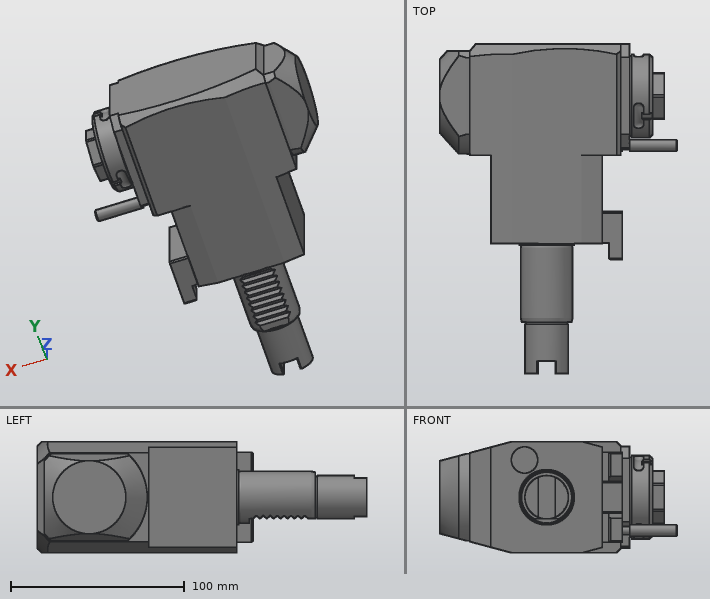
import cadquery as cq
import math

HALF_HEIGHT = 32.0
BACK_Y = 114.8
SHANK_END_Y = BACK_Y - 189.5
SPINDLE_Y = 84.9

STEM_HALF_WIDTH = 32.0
STEM_FLAT_HALF_WIDTH = 20.0
STEM_TOP_Y = 50.8
HOUSING_LEFT_X = -44.2
HOUSING_RIGHT_X = 42.6
HOUSING_EDGE_CHAMFER = 2.5
TAPER_SLOPE = math.tan(math.radians(15))
BACK_CORNER_CHAMFER_X = 3.5
CROWN_RADIUS = 132.6
CROWN_CENTER_X = 10.2
CROWN_EDGE_Z = 29.4

COVER_LEFT_X = -61.5
COVER_RIM_X = -50.5
COVER_TIP_RADIUS = 21.0
COVER_RADIUS = 33.4
COVER_BACK_Y = 110.9
COVER_FLAT_HALF_HEIGHT = 25.0

SHANK_RADIUS = 15.0
COLLAR_RADIUS = 16.0
COLLAR_LENGTH = 1.0
RELIEF_RADIUS = 14.5
RELIEF_END_Y = -2.3
SHANK_SHOULDER_Y = -45.1
SHANK_CHAMFER_LENGTH = 2.3
SHANK_CHAMFER_DEPTH = 0.5
TAIL_RADIUS = 12.5
TAIL_START_Y = -46.2
TAIL_NECK_RADIUS = 12.0
TANG_SLOT_WIDTH = 9.9
TANG_SLOT_DEPTH = 7.2
TANG_SLOT_CHAMFER = 0.8
FLAT_Z = -12.3
FLAT_START_Y = -7.2
TOOTH_PITCH = 4.0
TOOTH_DEPTH = 1.7
TOOTH_COUNT = 8

PLUG_X = -12.7
PLUG_Z = 21.5
PLUG_RADIUS = 7.5
PLUG_RECESS = 0.4

KEY_RIGHT_X = 43.5
KEY_JAW_LEFT_X = 35.8
KEY_BACK_Y = 18.5
KEY_FRONT_Y = 0.4
KEY_JAW_END_Y = -9.3
KEY_HALF_HEIGHT = 26.0
KEY_GAP_HALF_HEIGHT = 9.3
KEY_MOUTH_HALF_HEIGHT = 12.0
KEY_RECESS_DEPTH = 0.4
KEY_RECESS_BEVEL = 1.0
KEY_CHAMFER = 1.0

PLATE_RIGHT_X = 47.8
PLATE_FRONT_Y = 55.1
PLATE_HALF_HEIGHT = 29.2
PLATE_CORNER_Y = 7.8
PLATE_CORNER_Z = 6.6
PLATE_STEP_Z = -14.2
PLATE_STEP = 2.5
PLATE_STEP_CORNER = 1.0

NUT_RADIUS = 24.0
NUT_LEFT_X = 48.9
NUT_RIGHT_X = 61.0
NUT_NECK_RADIUS = 23.1
NUT_CHAMFER = 1.9
NUT_SLOT_COUNT = 3
NUT_SLOT_ANGLE = 120
NUT_SLOT_X = 52.9
NUT_SLOT_CUTTER_RADIUS = 3.0
NUT_SLOT_PATH_RADIUS = 25.0
NUT_SLOT_SWEEP = 27
NUT_CHANNEL_WIDTH = 3.8
NUT_CHANNEL_FLOOR = 22.5

HEX_RIGHT_X = 67.7
HEX_CORNER_RADIUS = 15.5
HEX_TURNED_RADIUS = 15.2

PIN_Y = 56.5
PIN_Z = -19.1
PIN_RADIUS = 3.5
PIN_NECK_RADIUS = 2.5
PIN_HEAD_X = 43.5
PIN_END_X = 75.2
PIN_CHAMFER = 0.8


def prism_along_y(points, y_start, y_end):
    """Extrude an (X, Z) outline between two Y positions."""
    return cq.Workplane("XZ", origin=(0, y_end, 0)).polyline(points).close().extrude(y_end - y_start)


def block(x_range, y_range, z_range):
    """Box given by its limits on each axis."""
    lows, highs = zip(x_range, y_range, z_range)
    size = [high - low for low, high in zip(lows, highs)]
    return cq.Workplane("XY").box(*size, centered=False).translate(lows)


def rod_along_x(radius, x_start, x_end, y=SPINDLE_Y, z=0):
    return cq.Workplane("YZ", origin=(x_start, y, z)).circle(radius).extrude(x_end - x_start)


def tapered_half_height(x):
    """Half thickness of the tapered left flank at a given X."""
    return HALF_HEIGHT + TAPER_SLOPE * (x + STEM_FLAT_HALF_WIDTH)


def mirrored(upper_points):
    """Close an upper outline with its mirror image below Z = 0."""
    return upper_points + [(across, -z) for across, z in reversed(upper_points)]


def make_stem():
    side_z = tapered_half_height(-STEM_HALF_WIDTH)
    upper = [
        (-STEM_HALF_WIDTH, side_z),
        (-STEM_FLAT_HALF_WIDTH, HALF_HEIGHT),
        (STEM_FLAT_HALF_WIDTH, HALF_HEIGHT),
        (STEM_HALF_WIDTH, side_z),
    ]
    stem = prism_along_y(mirrored(upper), 0, STEM_TOP_Y)
    plug = cq.Workplane("XZ").center(PLUG_X, PLUG_Z).circle(PLUG_RADIUS).extrude(-PLUG_RECESS)
    return stem.cut(plug)


def make_crown(side):
    """45 degree cone that bevels the back edge of the upper (1) or lower (-1) face."""
    foot_radius = CROWN_RADIUS + BACK_Y
    cone = (
        cq.Workplane("XY")
        .polyline([(0, 0), (foot_radius, 0), (CROWN_RADIUS, BACK_Y), (0, BACK_Y)])
        .close()
        .revolve(360, (0, 0, 0), (0, 1, 0))
    )
    return cone.translate((CROWN_CENTER_X, 0, side * (CROWN_EDGE_Z - CROWN_RADIUS)))


def make_head():
    upper = [
        (HOUSING_LEFT_X, tapered_half_height(HOUSING_LEFT_X)),
        (-STEM_FLAT_HALF_WIDTH, HALF_HEIGHT),
        (HOUSING_RIGHT_X - HOUSING_EDGE_CHAMFER, HALF_HEIGHT),
        (HOUSING_RIGHT_X, HALF_HEIGHT - HOUSING_EDGE_CHAMFER),
    ]
    head = prism_along_y(mirrored(upper), STEM_TOP_Y, BACK_Y)
    back_corner = (
        cq.Workplane("XY", origin=(0, 0, -HALF_HEIGHT))
        .polyline([
            (HOUSING_LEFT_X, COVER_BACK_Y),
            (HOUSING_LEFT_X, BACK_Y),
            (HOUSING_LEFT_X + BACK_CORNER_CHAMFER_X, BACK_Y),
        ])
        .close()
        .extrude(2 * HALF_HEIGHT)
    )
    head = head.cut(back_corner)
    return head.intersect(make_crown(1)).intersect(make_crown(-1))


def make_cover():
    cover = (
        cq.Workplane("XY", origin=(0, SPINDLE_Y, 0))
        .polyline([
            (COVER_LEFT_X, 0),
            (COVER_LEFT_X, COVER_TIP_RADIUS),
            (COVER_RIM_X, COVER_RADIUS),
            (HOUSING_LEFT_X, COVER_RADIUS),
            (HOUSING_LEFT_X, 0),
        ])
        .close()
        .revolve(360, (0, 0, 0), (1, 0, 0))
    )
    flat_start_x = -STEM_FLAT_HALF_WIDTH - (HALF_HEIGHT - COVER_FLAT_HALF_HEIGHT) / TAPER_SLOPE
    upper = [
        (COVER_LEFT_X, tapered_half_height(COVER_LEFT_X)),
        (flat_start_x, COVER_FLAT_HALF_HEIGHT),
        (HOUSING_LEFT_X, COVER_FLAT_HALF_HEIGHT),
    ]
    return cover.intersect(prism_along_y(mirrored(upper), 0, COVER_BACK_Y))


def make_shank():
    shank = (
        cq.Workplane("XY")
        .polyline([
            (0, 0),
            (COLLAR_RADIUS, 0),
            (COLLAR_RADIUS, -COLLAR_LENGTH),
            (RELIEF_RADIUS, -COLLAR_LENGTH),
            (SHANK_RADIUS, RELIEF_END_Y),
            (SHANK_RADIUS, SHANK_SHOULDER_Y + SHANK_CHAMFER_LENGTH),
            (SHANK_RADIUS - SHANK_CHAMFER_DEPTH, SHANK_SHOULDER_Y),
            (TAIL_NECK_RADIUS, SHANK_SHOULDER_Y),
            (TAIL_NECK_RADIUS, TAIL_START_Y),
            (TAIL_RADIUS, TAIL_START_Y),
            (TAIL_RADIUS, SHANK_END_Y),
            (0, SHANK_END_Y),
        ])
        .close()
        .revolve(360, (0, 0, 0), (0, 1, 0))
    )
    across = (-COLLAR_RADIUS, COLLAR_RADIUS)
    half_slot = TANG_SLOT_WIDTH / 2
    tang_slot = block((-half_slot, half_slot), (SHANK_END_Y, SHANK_END_Y + TANG_SLOT_DEPTH), across)
    flat = block(across, (SHANK_SHOULDER_Y, FLAT_START_Y), (-COLLAR_RADIUS, FLAT_Z))
    shank = shank.cut(tang_slot)
    slot_region = cq.selectors.BoxSelector(
        (-TANG_SLOT_WIDTH, SHANK_END_Y, -TAIL_RADIUS),
        (TANG_SLOT_WIDTH, SHANK_END_Y + TANG_SLOT_DEPTH, TAIL_RADIUS),
    )
    shank = shank.edges("|Y").edges(slot_region).chamfer(TANG_SLOT_CHAMFER)
    shank = shank.cut(flat)
    for index in range(TOOTH_COUNT):
        start_y = FLAT_START_Y - TOOTH_PITCH * (index + 0.5)
        groove = (
            cq.Workplane("YZ", origin=(-COLLAR_RADIUS, 0, 0))
            .polyline([
                (start_y, FLAT_Z),
                (start_y - TOOTH_PITCH / 2, FLAT_Z + TOOTH_DEPTH),
                (start_y - TOOTH_PITCH, FLAT_Z),
            ])
            .close()
            .extrude(2 * COLLAR_RADIUS)
        )
        shank = shank.cut(groove)
    return shank


def make_key():
    full_height = (-KEY_HALF_HEIGHT, KEY_HALF_HEIGHT)
    key = block((STEM_HALF_WIDTH, KEY_RIGHT_X), (KEY_FRONT_Y, KEY_BACK_Y), full_height)
    key = key.edges(">Y and (>Z or <Z)").chamfer(KEY_CHAMFER)
    recess = (
        cq.Workplane("YZ", origin=(STEM_HALF_WIDTH, 0, 0))
        .polyline(mirrored([
            (KEY_FRONT_Y, KEY_GAP_HALF_HEIGHT),
            (KEY_FRONT_Y + KEY_RECESS_DEPTH, KEY_GAP_HALF_HEIGHT - KEY_RECESS_BEVEL),
        ]))
        .close()
        .extrude(KEY_RIGHT_X - STEM_HALF_WIDTH)
    )
    jaw = (
        cq.Workplane("YZ", origin=(KEY_JAW_LEFT_X, 0, 0))
        .polyline([
            (KEY_FRONT_Y, KEY_GAP_HALF_HEIGHT),
            (KEY_JAW_END_Y, KEY_MOUTH_HALF_HEIGHT),
            (KEY_JAW_END_Y, KEY_HALF_HEIGHT),
            (KEY_FRONT_Y, KEY_HALF_HEIGHT),
        ])
        .close()
        .extrude(KEY_RIGHT_X - KEY_JAW_LEFT_X)
    )
    jaw = jaw.edges("<Y and (>Z or <X)").chamfer(KEY_CHAMFER)
    return key.cut(recess).union(jaw).union(jaw.mirror("XY"))


def make_plate():
    inner_z = PLATE_HALF_HEIGHT - PLATE_CORNER_Z
    step_y = PLATE_FRONT_Y + PLATE_STEP
    outline = [
        (step_y + PLATE_STEP_CORNER, -PLATE_HALF_HEIGHT),
        (step_y, PLATE_STEP_CORNER - PLATE_HALF_HEIGHT),
        (step_y, PLATE_STEP_Z - PLATE_STEP),
        (PLATE_FRONT_Y, PLATE_STEP_Z),
        (PLATE_FRONT_Y, inner_z),
        (PLATE_FRONT_Y + PLATE_CORNER_Y, PLATE_HALF_HEIGHT),
        (BACK_Y - PLATE_CORNER_Y, PLATE_HALF_HEIGHT),
        (BACK_Y, inner_z),
        (BACK_Y, -inner_z),
        (BACK_Y - PLATE_CORNER_Y, -PLATE_HALF_HEIGHT),
    ]
    return (
        cq.Workplane("YZ", origin=(HOUSING_RIGHT_X, 0, 0))
        .polyline(outline)
        .close()
        .extrude(PLATE_RIGHT_X - HOUSING_RIGHT_X)
    )


def make_nut_slot(angle):
    """Round-bottomed spanner slot with a channel to the nut's end face, at an angle about the spindle."""
    axis_start = (0, SPINDLE_Y, 0)
    axis_end = (1, SPINDLE_Y, 0)
    section = cq.Workplane("XZ", origin=(NUT_SLOT_X, SPINDLE_Y, NUT_SLOT_PATH_RADIUS))
    slot = (
        section.circle(NUT_SLOT_CUTTER_RADIUS)
        .revolve(NUT_SLOT_SWEEP, (0, -NUT_SLOT_PATH_RADIUS, 0), (1, -NUT_SLOT_PATH_RADIUS, 0))
        .rotate(axis_start, axis_end, -NUT_SLOT_SWEEP / 2)
    )
    for turn in (-NUT_SLOT_SWEEP / 2, NUT_SLOT_SWEEP / 2):
        slot = slot.union(section.sphere(NUT_SLOT_CUTTER_RADIUS).rotate(axis_start, axis_end, turn))
    half_channel = NUT_CHANNEL_WIDTH / 2
    channel = block(
        (NUT_SLOT_X + half_channel, NUT_RIGHT_X),
        (SPINDLE_Y - half_channel, SPINDLE_Y + half_channel),
        (NUT_CHANNEL_FLOOR, NUT_CHANNEL_FLOOR + NUT_RADIUS),
    )
    return slot.union(channel).rotate(axis_start, axis_end, angle - 90)


def make_nut():
    nut = rod_along_x(NUT_RADIUS, NUT_LEFT_X, NUT_RIGHT_X).faces(">X").chamfer(NUT_CHAMFER)
    for index in range(NUT_SLOT_COUNT):
        nut = nut.cut(make_nut_slot(NUT_SLOT_ANGLE + index * 360 / NUT_SLOT_COUNT))
    return nut.union(rod_along_x(NUT_NECK_RADIUS, PLATE_RIGHT_X, NUT_LEFT_X))


def make_hexagon():
    hexagon = (
        cq.Workplane("YZ", origin=(NUT_RIGHT_X, SPINDLE_Y, 0))
        .transformed(rotate=(0, 0, 90))
        .polygon(6, 2 * HEX_CORNER_RADIUS)
        .extrude(HEX_RIGHT_X - NUT_RIGHT_X)
    )
    return hexagon.intersect(rod_along_x(HEX_TURNED_RADIUS, NUT_RIGHT_X, HEX_RIGHT_X))


def make_pin():
    head = rod_along_x(PIN_RADIUS, HOUSING_RIGHT_X, PIN_HEAD_X, PIN_Y, PIN_Z)
    neck = rod_along_x(PIN_NECK_RADIUS, PIN_HEAD_X, PLATE_RIGHT_X, PIN_Y, PIN_Z)
    body = rod_along_x(PIN_RADIUS, PLATE_RIGHT_X, PIN_END_X, PIN_Y, PIN_Z)
    return body.faces(">X").chamfer(PIN_CHAMFER).union(neck).union(head)


result = make_stem()
for feature in (
    make_head(),
    make_cover(),
    make_shank(),
    make_key(),
    make_plate(),
    make_nut(),
    make_hexagon(),
    make_pin(),
):
    result = result.union(feature)